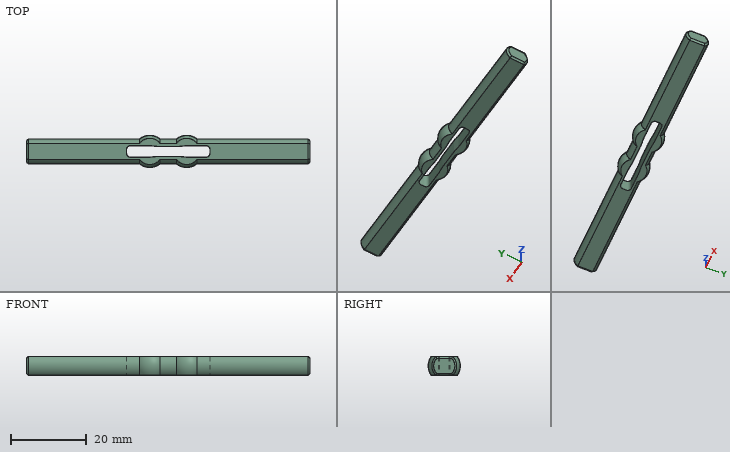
import cadquery as cq

length = 75.0
rod_radius = 3.3
thickness = 5.0
end_chamfer = 0.5

ball_radius = 4.275
ball_offset = 4.875

slot_length = 22.0
slot_width = 3.0
waist_width = 2.6
waist_length = 6.0
taper_length = 2.0
slot_corner_radius = 1.0


def flatted_rod():
    """Rod along X, cut to flats at top and bottom, chamfered at both ends."""
    rod = cq.Workplane("YZ").circle(rod_radius).extrude(length / 2, both=True)
    slab = cq.Workplane("XY").box(length, 2 * rod_radius, thickness)
    return rod.intersect(slab).faces("<X or >X").chamfer(end_chamfer)


def flatted_ball(x):
    """Ball centred on the rod axis at x, cut to the same flats."""
    slab = cq.Workplane("XY").box(2 * ball_radius, 2 * ball_radius, thickness)
    return cq.Workplane("XY").sphere(ball_radius).intersect(slab).translate((x, 0, 0))


def slot_cutter():
    """Vertical through slot whose side walls taper in to the waist."""
    end_x = slot_length / 2
    waist_x = waist_length / 2
    taper_x = waist_x + taper_length
    wide_y = slot_width / 2
    waist_y = waist_width / 2
    upper = [
        (-end_x, wide_y),
        (-taper_x, wide_y),
        (-waist_x, waist_y),
        (waist_x, waist_y),
        (taper_x, wide_y),
        (end_x, wide_y),
    ]
    lower = [(x, -y) for x, y in reversed(upper)]
    prism = cq.Workplane("XY").polyline(upper + lower).close().extrude(thickness / 2, both=True)
    end_corners = prism.faces("<X or >X").edges("|Z")
    return end_corners.fillet(slot_corner_radius)


result = flatted_rod()
for side in (-1, 1):
    result = result.union(flatted_ball(side * ball_offset))
result = result.cut(slot_cutter())